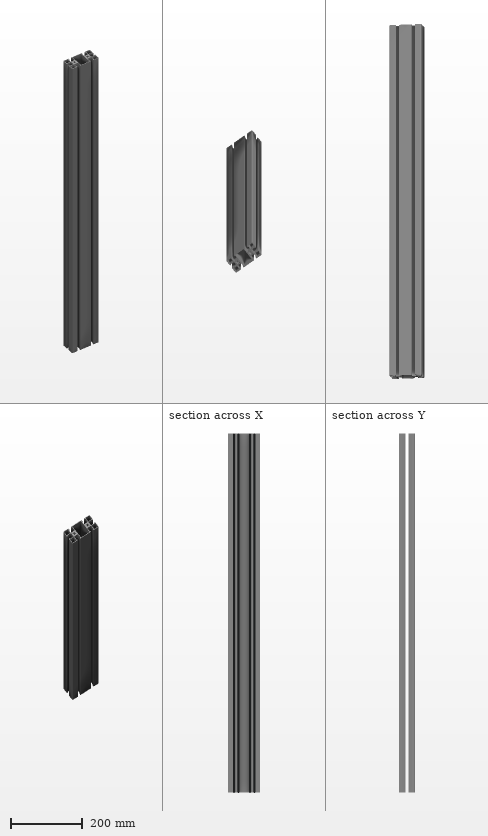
import cadquery as cq

length = 1000.0
module = 45.0
width = module
depth = 2 * module
half_width = width / 2
half_depth = depth / 2
module_center = module / 2
corner_radius = 2.0
wall = 1.5

slot_opening = 9.0
lip_thickness = 4.0
cavity_width = 13.0
slot_depth = 15.0
cavity_chamfer = 1.0

bore_diameter = 6.0
groove_reach = 5.0
groove_width = 2.0
groove_angles = (45, 135)

rib_height = 1.5
rib_width = 1.0
hollow_inner_x = cavity_width / 2 + wall
hollow_outer_x = half_width - wall
hollow_inner_y = module_center + cavity_width / 2 + wall
hollow_outer_y = half_depth - wall

chamber_width = width - 2 * wall
chamber_depth = 29.0


def prism(sketch):
    """Extrude a closed sketch over the full length, centred on the XY plane."""
    return sketch.extrude(length / 2, both=True)


def block(x0, x1, y0, y1):
    """Full-length rectangular prism between two opposite corners."""
    sketch = cq.Workplane("XY").center((x0 + x1) / 2, (y0 + y1) / 2)
    return prism(sketch.rect(abs(x1 - x0), abs(y1 - y0)))


def t_slot(x, y, angle):
    """T-slot with its mouth at (x, y), cutting along +Y turned by the angle."""
    half_opening = slot_opening / 2
    half_cavity = cavity_width / 2
    right_side = [
        (half_opening, 0),
        (half_opening, lip_thickness),
        (half_cavity, lip_thickness),
        (half_cavity, slot_depth - cavity_chamfer),
        (half_cavity - cavity_chamfer, slot_depth),
    ]
    left_side = [(-px, py) for px, py in reversed(right_side)]
    slot = prism(cq.Workplane("XY").polyline(right_side + left_side).close())
    return slot.rotate((0, 0, 0), (0, 0, 1), angle).translate((x, y, 0))


def grooved_bore(y):
    """Round bore crossed by two diagonal slits."""
    bore = prism(cq.Workplane("XY").circle(bore_diameter / 2))
    for angle in groove_angles:
        slit = prism(cq.Workplane("XY").rect(2 * groove_reach, groove_width))
        bore = bore.union(slit.rotate((0, 0, 0), (0, 0, 1), angle))
    return bore.translate((0, y, 0))


def corner_hollow(side_x, side_y):
    """Rectangular hollow in one corner, less the rib standing on its end wall."""
    hollow = block(
        side_x * hollow_inner_x,
        side_x * hollow_outer_x,
        side_y * hollow_inner_y,
        side_y * hollow_outer_y,
    )
    rib_x = side_x * (hollow_inner_x + hollow_outer_x) / 2
    rib = block(
        rib_x - rib_width / 2,
        rib_x + rib_width / 2,
        side_y * (hollow_outer_y - rib_height),
        side_y * hollow_outer_y,
    )
    return hollow.cut(rib)


profile = prism(cq.Workplane("XY").rect(width, depth)).edges("|Z").fillet(corner_radius)

profile = profile.cut(t_slot(0, -half_depth, 0))
profile = profile.cut(t_slot(0, half_depth, 180))

for side_y in (-1, 1):
    center_y = side_y * module_center
    profile = profile.cut(t_slot(-half_width, center_y, -90))
    profile = profile.cut(t_slot(half_width, center_y, 90))
    profile = profile.cut(grooved_bore(center_y))
    for side_x in (-1, 1):
        profile = profile.cut(corner_hollow(side_x, side_y))

profile = profile.cut(
    block(-chamber_width / 2, chamber_width / 2, -chamber_depth / 2, chamber_depth / 2)
)

result = profile.solids()